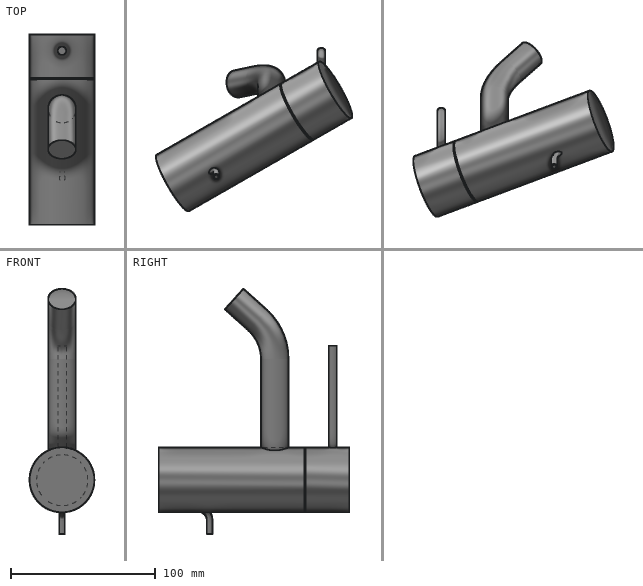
import cadquery as cq
import math

barrel_diameter = 45.0
barrel_radius = barrel_diameter / 2
barrel_length = 100.5
neck_radius = 17.6
gap = 1.0
overall_depth = 131.5
overall_height = 169.7
cap_start = barrel_length + gap
cap_length = overall_depth - cap_start

lever_radius = 2.9
lever_y = 120.1
lever_top = 92.6

spout_diameter = 19.2
spout_radius = spout_diameter / 2
spout_y = 80.0
spout_bend_z = 83.5
spout_bend_radius = 36.3
spout_bend_angle = 48
spout_tip_length = 21.5

hook_radius = 2.0
hook_y = 35.1
hook_bend_z = -27.8
hook_bend_radius = 7.8
hook_bend_angle = 90
hook_chamfer = 0.5

bend_rad = math.radians(spout_bend_angle)
spout_top = (spout_bend_z + (spout_bend_radius + spout_radius) * math.sin(bend_rad)
             + spout_tip_length * math.cos(bend_rad))
hook_bottom = spout_top - overall_height


def disc_along_y(radius, start, length):
    """Solid cylinder on the barrel axis, running from Y = start towards +Y."""
    return cq.Workplane("XZ", origin=(0, start, 0)).circle(radius).extrude(-length)


def bent_rod_path(y, bottom, bend_z, bend_radius, bend_angle, tip_length=0):
    """Vertical line that bends towards -Y, with an optional straight tip."""
    def on_bend(angle):
        turn = math.radians(angle)
        return (y - bend_radius * (1 - math.cos(turn)), bend_z + bend_radius * math.sin(turn))

    path = (
        cq.Workplane("YZ")
        .moveTo(y, bottom)
        .lineTo(y, bend_z)
        .threePointArc(on_bend(bend_angle / 2), on_bend(bend_angle))
    )
    if tip_length:
        end_y, end_z = on_bend(bend_angle)
        turn = math.radians(bend_angle)
        path = path.lineTo(end_y - tip_length * math.sin(turn), end_z + tip_length * math.cos(turn))
    return path


def rod_along(path, radius, y, bottom):
    """Round rod swept along a path that starts straight up from (y, bottom)."""
    return cq.Workplane("XY", origin=(0, y, bottom)).circle(radius).sweep(path)


def make_barrel():
    return disc_along_y(barrel_radius, 0, barrel_length)


def make_neck():
    return disc_along_y(neck_radius, barrel_length, gap)


def make_cap():
    return disc_along_y(barrel_radius, cap_start, cap_length)


def make_lever(cap):
    """Upright pin whose foot is shaped to the cap's round surface."""
    pin = cq.Workplane("XY", origin=(0, lever_y, 0)).circle(lever_radius).extrude(lever_top)
    return pin.cut(cap)


def make_spout(barrel):
    """Bent spout whose foot is shaped to the barrel's round surface."""
    path = bent_rod_path(spout_y, 0, spout_bend_z, spout_bend_radius, spout_bend_angle, spout_tip_length)
    return rod_along(path, spout_radius, spout_y, 0).cut(barrel)


def make_hook(barrel):
    """Small bent rod under the barrel, ending on the barrel's surface."""
    path = bent_rod_path(hook_y, hook_bottom, hook_bend_z, hook_bend_radius, hook_bend_angle)
    rod = rod_along(path, hook_radius, hook_y, hook_bottom)
    return rod.faces("<Z").chamfer(hook_chamfer).cut(barrel)


barrel = make_barrel()
neck = make_neck()
cap = make_cap()
lever = make_lever(cap)
spout = make_spout(barrel)
hook = make_hook(barrel)

result = cq.Compound.makeCompound([
    barrel.val(),
    neck.val(),
    cap.val(),
    *lever.vals(),
    *spout.vals(),
    *hook.vals(),
])